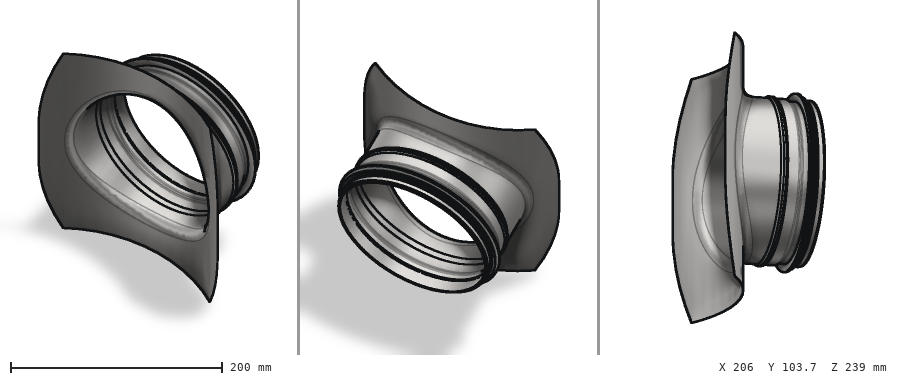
import cadquery as cq
import math

WALL = 0.5
DUCT_RADIUS = 157.5
SADDLE_HEIGHT = 239.0
SADDLE_HALF_WIDTH = 103.0
CORNER_HALF_WIDTH = 84.4
FLAT_HALF_HEIGHT = 24.0
BULGE_HALF_WIDTH = 98.59
DEPTH = 103.7
NECK_FILLET = 9.5

SPOUT_RADIUS = 158.0 / 2
SEAT_RADIUS = 154.2 / 2
BEAD_RADIUS = 161.0 / 2

SEAT_END = 21.5
SEAT_RAMP_END = 24.9
SEAT_BEND = 2.9
BEAD_START = 36.0
BEAD_CREST_START = 38.0
BEAD_CREST_END = 40.5
BEAD_END = 43.0

SEAL_LENGTH = 15.5
SEAL_RIM_RADIUS = 157.0 / 2
SEAL_RIM_LENGTH = 1.5
SEAL_LIP_RAMP_START = 6.5
SEAL_LIP_RADIUS = 159.0 / 2
SEAL_LIP_START = 8.0
SMALL_FIN_RADIUS = 164.5 / 2
SMALL_FIN_START = 10.3
LARGE_FIN_RADIUS = 169.5 / 2
FIN_ROOT_RADIUS = 155.4 / 2
FIN_ROOT_TAPER_START = 12.2
SMALL_FIN_THICKNESS = 0.7
LARGE_FIN_THICKNESS = 1.7
LARGE_FIN_START = SEAL_LENGTH - LARGE_FIN_THICKNESS

EDGE_Y = math.sqrt(DUCT_RADIUS**2 - SADDLE_HALF_WIDTH**2)
SPOUT_END_Y = EDGE_Y + DEPTH
NECK_END_Y = SPOUT_END_Y - BEAD_END


def ring(profile):
    """Revolve (radius, distance from the spout end) points about the Y axis."""
    points = [(radius, SPOUT_END_Y - distance) for radius, distance in profile]
    return cq.Workplane("XY").polyline(points).close().revolve(360, (0, 0, 0), (0, 1, 0))


def branched_cylinder(duct_radius, spout_radius, fillet):
    """Solid duct with a solid spout growing out of it, blended at the join."""
    duct = cq.Workplane("XY").circle(duct_radius).extrude(SADDLE_HEIGHT * 0.6, both=True)
    spout = cq.Workplane("XZ").circle(spout_radius).extrude(-NECK_END_Y)
    start_of_join = cq.selectors.BoxSelector(
        (-SADDLE_HALF_WIDTH, EDGE_Y, -SADDLE_HEIGHT / 2),
        (SADDLE_HALF_WIDTH, NECK_END_Y - WALL, SADDLE_HEIGHT / 2),
    )
    return duct.union(spout).edges(start_of_join).fillet(fillet)


def saddle_outline():
    """Block along Y with the saddle's front outline: bulging sides, flat ends."""
    top = SADDLE_HEIGHT / 2
    arc_middle = (FLAT_HALF_HEIGHT + top) / 2
    return (
        cq.Workplane("XZ", origin=(0, EDGE_Y, 0))
        .moveTo(-CORNER_HALF_WIDTH, top)
        .lineTo(CORNER_HALF_WIDTH, top)
        .threePointArc((BULGE_HALF_WIDTH, arc_middle), (SADDLE_HALF_WIDTH, FLAT_HALF_HEIGHT))
        .lineTo(SADDLE_HALF_WIDTH, -FLAT_HALF_HEIGHT)
        .threePointArc((BULGE_HALF_WIDTH, -arc_middle), (CORNER_HALF_WIDTH, -top))
        .lineTo(-CORNER_HALF_WIDTH, -top)
        .threePointArc((-BULGE_HALF_WIDTH, -arc_middle), (-SADDLE_HALF_WIDTH, -FLAT_HALF_HEIGHT))
        .lineTo(-SADDLE_HALF_WIDTH, FLAT_HALF_HEIGHT)
        .threePointArc((-BULGE_HALF_WIDTH, arc_middle), (-CORNER_HALF_WIDTH, top))
        .close()
        .extrude(-DEPTH)
    )


def make_saddle_neck():
    """Thin saddle and its blended neck, up to the bead."""
    outside = branched_cylinder(DUCT_RADIUS + WALL, SPOUT_RADIUS, NECK_FILLET)
    inside = branched_cylinder(DUCT_RADIUS, SPOUT_RADIUS - WALL, NECK_FILLET + WALL)
    return outside.cut(inside).intersect(saddle_outline())


def make_spout_end():
    """Sheet end of the spout: smooth-bored bead and reduced seat for the seal."""
    sheet = ring([
        (SPOUT_RADIUS, BEAD_END),
        (BEAD_RADIUS, BEAD_CREST_END),
        (BEAD_RADIUS, BEAD_CREST_START),
        (SPOUT_RADIUS, BEAD_START),
        (SPOUT_RADIUS, SEAT_RAMP_END),
        (SEAT_RADIUS, SEAT_END),
        (SEAT_RADIUS, 0),
        (SEAT_RADIUS - WALL, 0),
        (SEAT_RADIUS - WALL, SEAT_END),
        (SPOUT_RADIUS - WALL, SEAT_RAMP_END),
        (SPOUT_RADIUS - WALL, BEAD_END),
    ])
    for distance in (SEAT_END, SEAT_RAMP_END):
        bend_y = SPOUT_END_Y - distance
        bend_edges = cq.selectors.BoxSelector(
            (-SPOUT_RADIUS, bend_y - WALL, -SPOUT_RADIUS),
            (SPOUT_RADIUS, bend_y + WALL, SPOUT_RADIUS),
        )
        sheet = sheet.edges("%CIRCLE").edges(bend_edges).fillet(SEAT_BEND)
    return sheet


def make_seal():
    """Rubber ring around the seat, with a sloped lip and two fins."""
    small_fin_end = SMALL_FIN_START + SMALL_FIN_THICKNESS
    return ring([
        (SEAT_RADIUS, 0),
        (SEAL_RIM_RADIUS, 0),
        (SPOUT_RADIUS, SEAL_RIM_LENGTH),
        (SPOUT_RADIUS, SEAL_LIP_RAMP_START),
        (SEAL_LIP_RADIUS, SEAL_LIP_START),
        (SEAL_LIP_RADIUS, SMALL_FIN_START),
        (SMALL_FIN_RADIUS, SMALL_FIN_START),
        (SMALL_FIN_RADIUS, small_fin_end),
        (SPOUT_RADIUS, small_fin_end),
        (SPOUT_RADIUS, FIN_ROOT_TAPER_START),
        (FIN_ROOT_RADIUS, LARGE_FIN_START),
        (LARGE_FIN_RADIUS, LARGE_FIN_START),
        (LARGE_FIN_RADIUS, SEAL_LENGTH),
        (SEAT_RADIUS, SEAL_LENGTH),
    ])


fitting = make_saddle_neck().union(make_spout_end())
seal = make_seal()

result = cq.Compound.makeCompound([fitting.val(), seal.val()])